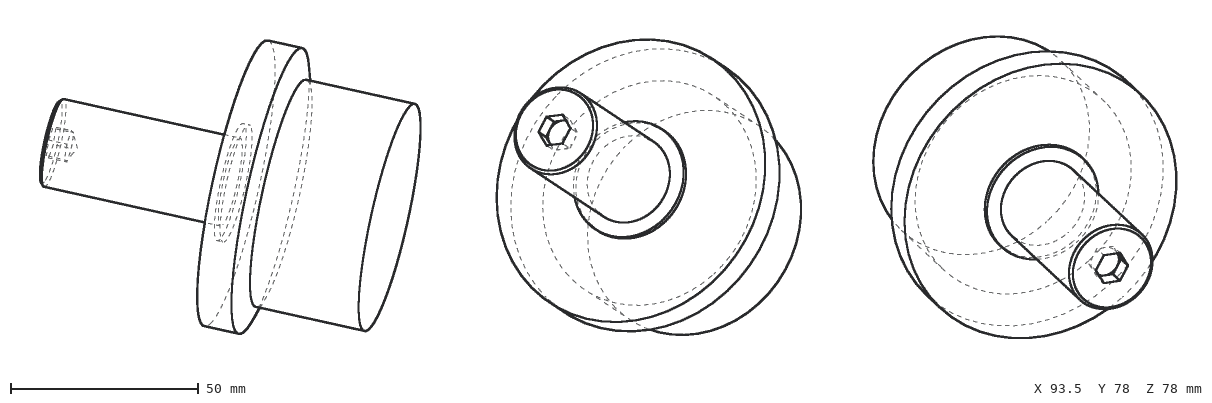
import cadquery as cq
import math


tread_diameter = 62.0
tread_width = 30.0
flange_diameter = 78.0
flange_cone_angle = 20.0
roller_width = 42.4

stud_diameter = 24.0
stud_length = 49.5
stud_chamfer = 0.8
collar_diameter = 32.0
collar_width = 1.6

socket_sides = 6
socket_across_flats = 8.0
socket_depth = 5.0
drill_point_angle = 120.0

tread_radius = tread_diameter / 2
flange_radius = flange_diameter / 2
collar_radius = collar_diameter / 2
stud_radius = stud_diameter / 2
cone_width = (flange_radius - tread_radius) * math.tan(math.radians(flange_cone_angle))
cone_end_x = roller_width - tread_width
flange_rim_x = cone_end_x - cone_width
collar_x = -collar_width
stud_end_x = collar_x - stud_length


def make_body():
    """Revolve the half profile of stud, collar, flange and tread about X."""
    profile = [
        (stud_end_x, 0),
        (stud_end_x, stud_radius - stud_chamfer),
        (stud_end_x + stud_chamfer, stud_radius),
        (collar_x, stud_radius),
        (collar_x, collar_radius),
        (0, collar_radius),
        (0, flange_radius),
        (flange_rim_x, flange_radius),
        (cone_end_x, tread_radius),
        (roller_width, tread_radius),
        (roller_width, 0),
    ]
    return cq.Workplane("XY").polyline(profile).close().revolve(360, (0, 0, 0), (1, 0, 0))


def make_socket():
    """Hexagonal prism, corners on the Y axis, ending in a conical drill point."""
    across_corners = socket_across_flats / math.cos(math.pi / socket_sides)
    hexagon = (
        cq.Workplane("YZ", origin=(stud_end_x, 0, 0))
        .polygon(socket_sides, across_corners)
        .extrude(socket_depth)
    )
    point_radius = socket_across_flats / 2
    point_length = point_radius / math.tan(math.radians(drill_point_angle / 2))
    floor_x = stud_end_x + socket_depth
    drill_point = (
        cq.Workplane("XY")
        .polyline([(floor_x, 0), (floor_x, point_radius), (floor_x + point_length, 0)])
        .close()
        .revolve(360, (0, 0, 0), (1, 0, 0))
    )
    return hexagon.union(drill_point)


result = make_body().cut(make_socket())